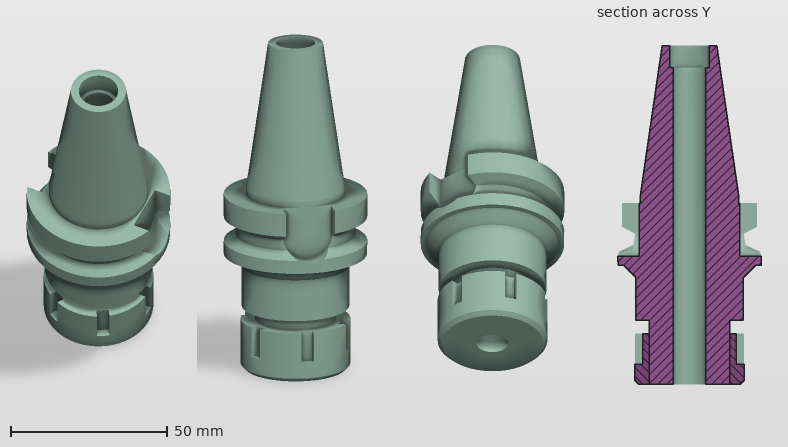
import cadquery as cq
import math

overall_height = 108.4
nut_height = 16.3
neck_top = 20.5
body_top = 34.1
flange_bottom = 38.0
flange_top = 58.0
gauge_line = 59.9

gauge_diameter = 31.8
gauge_radius = gauge_diameter / 2
taper_ratio = 7 / 24
shank_top_radius = gauge_radius - (overall_height - gauge_line) * taper_ratio / 2

flange_radius = 23.0
groove_radius = 19.2
groove_middle = 46.4
groove_floor_width = 3.6
groove_side_angle = 30.0
groove_side_rise = (flange_radius - groove_radius) * math.tan(math.radians(groove_side_angle))
groove_mouth_width = groove_floor_width + 2 * groove_side_rise

body_radius = 17.2
body_cone_radius = body_radius + flange_bottom - body_top
neck_radius = 13.0

drive_slot_width = 16.0
drive_slot_floor = 16.2
drive_slot_bottom = 41.1

bore_diameter = 10.2
pilot_diameter = 12.6
pilot_depth = 7.0

nut_radius = 17.6
nut_chamfer = 1.3
spanner_slot_count = 6
spanner_slot_width = 4.0
spanner_slot_floor = 15.0
spanner_slot_depth = 9.8


def make_holder_blank():
    """Turned outline of the holder, from the end of the neck to the top of the shank."""
    profile = [
        (0, 0),
        (neck_radius, 0),
        (neck_radius, neck_top),
        (body_radius, neck_top),
        (body_radius, body_top),
        (body_cone_radius, flange_bottom),
        (flange_radius, flange_bottom),
        (flange_radius, groove_middle - groove_mouth_width / 2),
        (groove_radius, groove_middle - groove_floor_width / 2),
        (groove_radius, groove_middle + groove_floor_width / 2),
        (flange_radius, groove_middle + groove_mouth_width / 2),
        (flange_radius, flange_top),
        (gauge_radius, flange_top),
        (gauge_radius, gauge_line),
        (shank_top_radius, overall_height),
        (0, overall_height),
    ]
    return cq.Workplane("XZ").polyline(profile).close().revolve(360, (0, 0, 0), (0, 1, 0))


def make_drive_slot():
    """Cutter for the round-bottomed drive slot on the +X side of the flange."""
    half_width = drive_slot_width / 2
    arc_center_height = drive_slot_bottom + half_width
    return (
        cq.Workplane("YZ", origin=(drive_slot_floor, 0, 0))
        .moveTo(-half_width, flange_top)
        .lineTo(-half_width, arc_center_height)
        .threePointArc((0, drive_slot_bottom), (half_width, arc_center_height))
        .lineTo(half_width, flange_top)
        .close()
        .extrude(flange_radius)
    )


def make_holder():
    """Tool holder with two opposite drive slots and a stepped bore through it."""
    holder = make_holder_blank()
    for angle in (0, 180):
        holder = holder.cut(make_drive_slot().rotate((0, 0, 0), (0, 0, 1), angle))
    return (
        holder.faces(">Z")
        .workplane(origin=(0, 0, overall_height))
        .cboreHole(bore_diameter, pilot_diameter, pilot_depth)
    )


def make_spanner_slot():
    """Cutter for one flat-floored slot, open at the top and the rim of the nut on the +X side."""
    return (
        cq.Workplane("XY", origin=(spanner_slot_floor, 0, nut_height - spanner_slot_depth))
        .box(nut_radius, spanner_slot_width, spanner_slot_depth, centered=(False, True, False))
    )


def make_nut():
    """Clamping nut around the neck, with spanner slots spaced evenly around its rim."""
    nut = cq.Workplane("XY").circle(nut_radius).extrude(nut_height)
    nut = nut.faces("<Z").edges().chamfer(nut_chamfer)
    nut = nut.cut(cq.Workplane("XY").circle(neck_radius).extrude(nut_height))
    for index in range(spanner_slot_count):
        angle = index * 360 / spanner_slot_count
        nut = nut.cut(make_spanner_slot().rotate((0, 0, 0), (0, 0, 1), angle))
    return nut


holder = make_holder()
nut = make_nut()

result = cq.Compound.makeCompound([holder.solids().val(), nut.solids().val()])